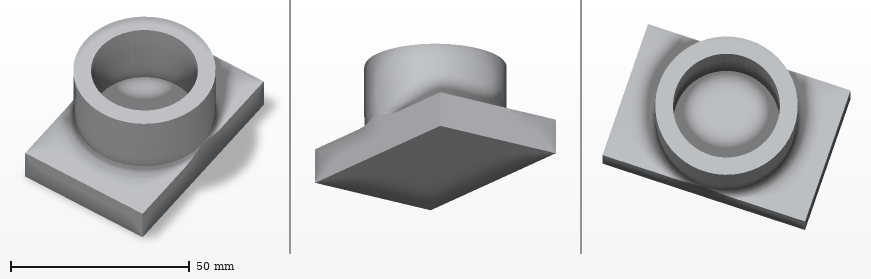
import cadquery as cq
import math

plate_length = 60.0
plate_width = plate_length * 2 / 3
plate_thickness = plate_length / 6

total_height = plate_length / 2
collar_radius = plate_width / 2
bore_radius = collar_radius * 3 / 4
fillet_radius = plate_length / 30


def make_plate():
    return cq.Workplane("XY").box(plate_width, plate_length, plate_thickness, centered=(True, True, False))


def make_flared_collar():
    """Solid collar with a concave fillet flaring out at its foot."""
    foot_radius = collar_radius + fillet_radius
    fillet_top = plate_thickness + fillet_radius
    arc_offset = fillet_radius * math.sqrt(0.5)
    return (
        cq.Workplane("XZ")
        .lineTo(foot_radius, 0)
        .lineTo(foot_radius, plate_thickness)
        .threePointArc(
            (foot_radius - arc_offset, fillet_top - arc_offset),
            (collar_radius, fillet_top),
        )
        .lineTo(collar_radius, total_height)
        .lineTo(0, total_height)
        .close()
        .revolve(360, (0, 0, 0), (0, 1, 0))
    )


def trim_to_plate_sides(body):
    """Cut the flare flush with the long sides of the plate."""
    envelope = cq.Workplane("XY").box(plate_width, plate_length, total_height, centered=(True, True, False))
    return body.intersect(envelope)


def make_bore():
    """Blind bore that stops at the top of the plate."""
    bore_depth = total_height - plate_thickness
    return cq.Workplane("XY").workplane(offset=plate_thickness).circle(bore_radius).extrude(bore_depth)


collar = trim_to_plate_sides(make_flared_collar())
result = make_plate().union(collar).cut(make_bore())